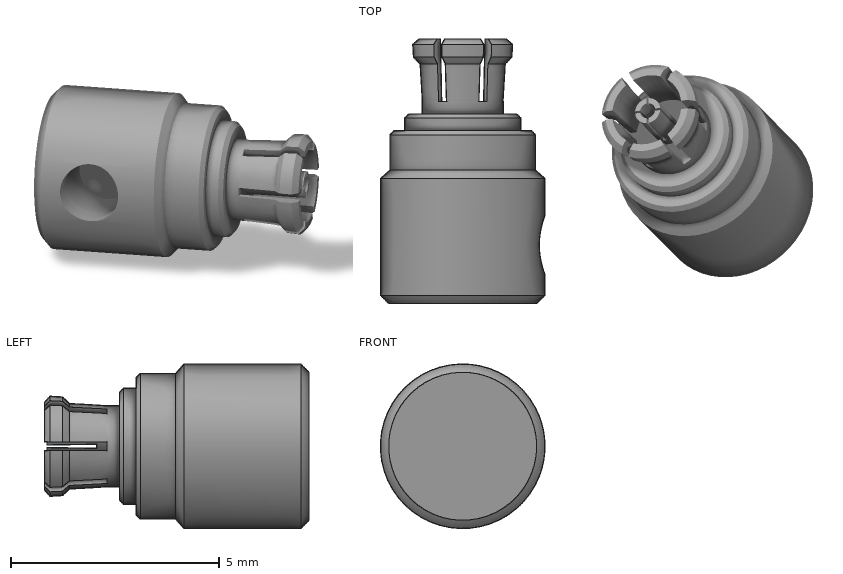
import cadquery as cq


total_length = 6.35
body_end = 3.0
shoulder_start = 3.2
shoulder_end = 4.15
ring_end = 4.55
slot_floor = 4.85

body_radius = 1.975
body_chamfer = 0.2
shoulder_radius = 1.75
ring_radius = 1.395
small_chamfer = 0.1
neck_radius = 0.975

finger_count = 6
finger_slot_width = 0.215
bead_width = 0.3
bead_nose = 0.135
bead_ramp = 0.165
bead_radius = 1.205
tip_radius = 1.055
splay_slope = 0.06
socket_floor_radius = 0.82
socket_tip_radius = 0.885

contact_radius = 0.32
contact_bore_radius = 0.19
contact_setback = 0.06
contact_tip = total_length - contact_setback
contact_slot_floor = 5.1
contact_slot_root_width = 0.092
contact_slot_tip_width = 0.056

cable_hole_radius = 0.715
cable_hole_position = 1.405

bead_front = total_length - bead_nose
bead_back = bead_front - bead_width
bead_start = bead_back - bead_ramp


def revolve_about_axis(points):
    """Turn a half profile of (radius, position) points about the Y axis."""
    return cq.Workplane("XY").polyline(points).close().revolve(360, (0, 0, 0), (0, 1, 0))


def make_shell():
    """Stepped body, neck and splayed finger sleeve, with the socket left open."""
    finger_root_radius = neck_radius + splay_slope * (bead_start - slot_floor)
    bead_back_radius = bead_radius - splay_slope * bead_width
    return revolve_about_axis([
        (0, 0),
        (body_radius - body_chamfer, 0),
        (body_radius, body_chamfer),
        (body_radius, body_end),
        (shoulder_radius, shoulder_start),
        (shoulder_radius, shoulder_end - small_chamfer),
        (shoulder_radius - small_chamfer, shoulder_end),
        (ring_radius, shoulder_end),
        (ring_radius, ring_end - small_chamfer),
        (ring_radius - small_chamfer, ring_end),
        (neck_radius, ring_end),
        (neck_radius, slot_floor),
        (finger_root_radius, bead_start),
        (bead_back_radius, bead_back),
        (bead_radius, bead_front),
        (tip_radius, total_length),
        (socket_tip_radius, total_length),
        (socket_floor_radius, slot_floor),
        (0, slot_floor),
    ])


def cut_finger_slots(shell):
    """Split the sleeve into equal fingers, with one slot facing +X."""
    slot_length = total_length - slot_floor
    slot = cq.Workplane("XY").box(
        2 * bead_radius, slot_length, finger_slot_width, centered=(False, False, True)
    ).translate((0, slot_floor, 0))
    for index in range(finger_count):
        angle = index * 360 / finger_count
        shell = shell.cut(slot.rotate((0, 0, 0), (0, 1, 0), angle))
    return shell


def make_contact():
    """Hollow centre contact with two crossed tapered slots."""
    contact = revolve_about_axis([
        (0, slot_floor),
        (contact_radius, slot_floor),
        (contact_radius, contact_tip),
        (contact_bore_radius, contact_tip),
        (contact_bore_radius, contact_slot_floor),
        (0, contact_slot_floor),
    ])
    slot = (
        cq.Workplane("XY")
        .polyline([
            (-contact_slot_root_width / 2, contact_slot_floor),
            (contact_slot_root_width / 2, contact_slot_floor),
            (contact_slot_tip_width / 2, contact_tip),
            (-contact_slot_tip_width / 2, contact_tip),
        ])
        .close()
        .extrude(2 * contact_radius, both=True)
    )
    for angle in (0, 90):
        contact = contact.cut(slot.rotate((0, 0, 0), (0, 1, 0), angle))
    return contact


def make_cable_hole():
    """Round opening running from the axis out through the +X side."""
    return (
        cq.Workplane("YZ")
        .center(cable_hole_position, 0)
        .circle(cable_hole_radius)
        .extrude(2 * body_radius)
    )


sleeve = cut_finger_slots(make_shell())
result = sleeve.union(make_contact()).cut(make_cable_hole())